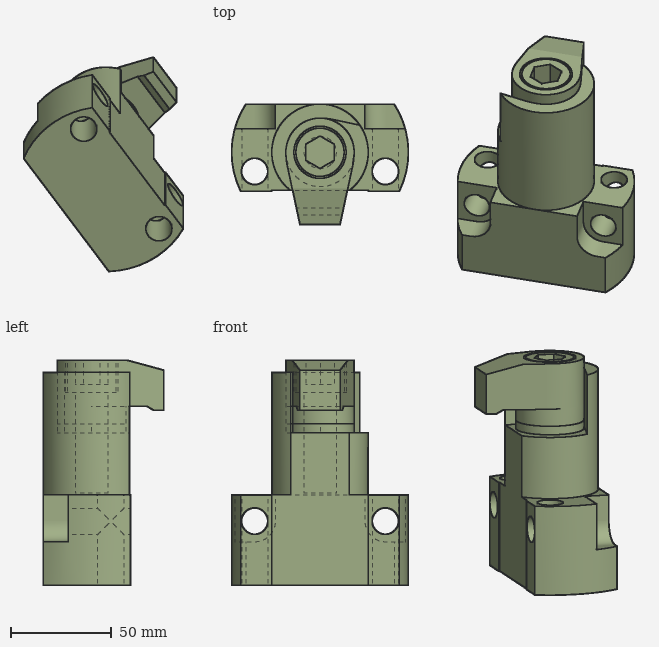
import cadquery as cq
import math


clearance = 1.0

base_radius = 44.0
base_height = 45.0
back_y = 24.0
pad_y = -19.5

column_radius = 24.0
column_top = 106.0
front_flat_y = -19.0
pocket_floor = 76.0
arm_seat_z = 80.3

mount_hole_diameter = 13.0
mount_x = 32.5
mount_y = -9.5
mount_z = 32.0
recess_radius = 10.2
recess_front_y = 11.6

arm_radius = 17.0
side_arc_radius = 30.0
arm_top = 112.0
tip_y = -36.0
tip_half_width = 10.0
beam_bottom = 89.0
tip_top = 107.1
tip_bottom = 87.0
slope_start_y = -18.0
pad_slope_start_y = -27.6
pad_slope_end_y = -31.1

shank_radius = 8.0
head_radius = 12.0
head_height = 16.0
hex_across_flats = 14.0
hex_depth = 12.0
screw_length = 50.0
counterbore_radius = 13.0
head_seat_z = arm_top - head_height
screw_end_z = head_seat_z - screw_length

side_arc_center_x = side_arc_radius - arm_radius
corner_offset = side_arc_center_x + tip_half_width
corner_distance = math.hypot(corner_offset, tip_y)
tangent_angle = math.atan2(corner_offset, -tip_y) + math.acos(side_arc_radius / corner_distance)
side_arc_angle = math.pi / 2 - tangent_angle


def side_arc_point(angle):
    """Half width and Y of the arm side arc at an angle from the widest point."""
    half_width = side_arc_radius * math.cos(angle) - side_arc_center_x
    return half_width, -side_arc_radius * math.sin(angle)


side_mid_x, side_mid_y = side_arc_point(side_arc_angle / 2)
side_end_x, side_end_y = side_arc_point(side_arc_angle)


def cylinder(radius, bottom, top):
    """Cylinder on the clamp axis."""
    return cq.Workplane("XY").workplane(offset=bottom).circle(radius).extrude(top - bottom)


def make_base():
    """Round base cut by a flat back and by a front flat with two raised pads."""
    base = cylinder(base_radius, 0, base_height)
    flats = (
        cq.Workplane("XY")
        .moveTo(-base_radius, back_y)
        .lineTo(-base_radius, pad_y)
        .lineTo(-column_radius, pad_y)
        .lineTo(-column_radius, front_flat_y)
        .lineTo(column_radius, front_flat_y)
        .lineTo(column_radius, pad_y)
        .lineTo(base_radius, pad_y)
        .lineTo(base_radius, back_y)
        .close()
        .extrude(base_height)
    )
    return base.intersect(flats)


def make_column():
    """Round column with a front flat."""
    flat = cq.Workplane("XY").box(
        2 * column_radius, back_y - front_flat_y, column_top, centered=(True, False, False)
    ).translate((0, front_flat_y, 0))
    return cylinder(column_radius, 0, column_top).intersect(flat)


def make_swing_pocket():
    """Room swept by the arm as it turns a quarter turn from -Y to +X."""
    return (
        cq.Workplane("XY")
        .workplane(offset=pocket_floor)
        .moveTo(-tip_half_width, tip_y)
        .lineTo(-side_end_x, side_end_y)
        .threePointArc((-side_mid_x, side_mid_y), (-arm_radius, 0))
        .threePointArc((-arm_radius * math.sqrt(0.5), arm_radius * math.sqrt(0.5)), (0, arm_radius))
        .threePointArc((-side_mid_y, side_mid_x), (-side_end_y, side_end_x))
        .lineTo(-tip_y, tip_half_width)
        .lineTo(-tip_y, tip_y)
        .close()
        .extrude(column_top - pocket_floor)
    )


def make_mount_cuts(side):
    """Vertical hole, cross hole and open screw head recess on one side (-1 or +1)."""
    x = side * mount_x
    outer_x = side * (base_radius + clearance)
    vertical_hole = (
        cq.Workplane("XY").center(x, mount_y).circle(mount_hole_diameter / 2).extrude(base_height)
    )
    cross_hole = (
        cq.Workplane("XZ", origin=(0, back_y, 0))
        .center(x, mount_z)
        .circle(mount_hole_diameter / 2)
        .extrude(back_y - pad_y)
    )
    inner_x = x - side * recess_radius
    arc_offset = recess_radius * math.sqrt(0.5)
    recess = (
        cq.Workplane("XZ", origin=(0, back_y, 0))
        .moveTo(outer_x, base_height)
        .lineTo(inner_x, base_height)
        .lineTo(inner_x, mount_z)
        .threePointArc((x - side * arc_offset, mount_z - arc_offset), (x, mount_z - recess_radius))
        .lineTo(outer_x, mount_z - recess_radius)
        .close()
        .extrude(back_y - recess_front_y)
    )
    return vertical_hole.union(cross_hole).union(recess)


def make_housing():
    """Base and column with the arm pocket, the round pedestal under the arm and the screw bore."""
    body = make_column().cut(make_swing_pocket()).union(make_base())
    for side in (-1, 1):
        body = body.cut(make_mount_cuts(side))
    body = body.union(cylinder(arm_radius, pocket_floor, arm_seat_z))
    return body.cut(cylinder(shank_radius, screw_end_z, arm_seat_z))


def make_arm():
    """Hook arm: a tapered beam with a clamping tip on a round hub."""
    plan = (
        cq.Workplane("XY")
        .workplane(offset=tip_bottom)
        .moveTo(-tip_half_width, tip_y)
        .lineTo(-side_end_x, side_end_y)
        .threePointArc((-side_mid_x, side_mid_y), (-arm_radius, 0))
        .threePointArc((0, arm_radius), (arm_radius, 0))
        .threePointArc((side_mid_x, side_mid_y), (side_end_x, side_end_y))
        .lineTo(tip_half_width, tip_y)
        .close()
        .extrude(arm_top - tip_bottom)
    )
    profile_half_width = arm_radius + clearance
    side_profile = (
        cq.Workplane("YZ")
        .moveTo(profile_half_width, arm_top)
        .lineTo(slope_start_y, arm_top)
        .lineTo(tip_y, tip_top)
        .lineTo(tip_y, tip_bottom)
        .lineTo(pad_slope_end_y, tip_bottom)
        .lineTo(pad_slope_start_y, beam_bottom)
        .lineTo(profile_half_width, beam_bottom)
        .close()
        .extrude(profile_half_width, both=True)
    )
    hub = cylinder(arm_radius, arm_seat_z, beam_bottom)
    arm = plan.intersect(side_profile).union(hub)
    arm = arm.cut(cylinder(shank_radius, arm_seat_z, head_seat_z))
    return arm.cut(cylinder(counterbore_radius, head_seat_z, arm_top))


def make_screw():
    """Cap screw with a hexagon socket that points a corner along Y."""
    head = cylinder(head_radius, head_seat_z, arm_top)
    shank = cylinder(shank_radius, screw_end_z, head_seat_z)
    socket = (
        cq.Workplane("XY")
        .workplane(offset=arm_top - hex_depth)
        .transformed(rotate=(0, 0, 90))
        .polygon(6, hex_across_flats / math.cos(math.pi / 6))
        .extrude(hex_depth)
    )
    return head.union(shank).cut(socket)


housing = make_housing().solids()
arm = make_arm().solids()
screw = make_screw().solids()

result = cq.Compound.makeCompound([housing.val(), arm.val(), screw.val()])